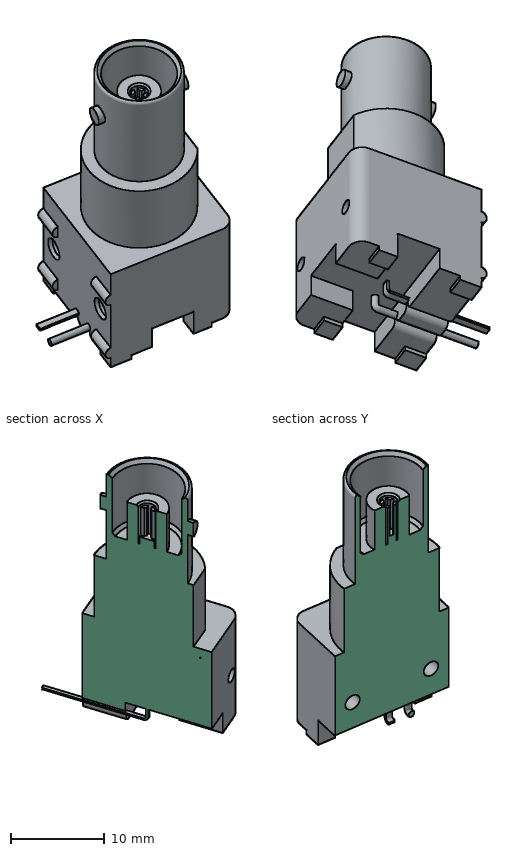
import cadquery as cq
import math


BODY_X = 14.76
BODY_Y = 15.24
BODY_TOP = 14.35
REAR_CORNER_R = 1.6
FOOT_H = 0.57
FOOT_X = 2.25
FRONT_FOOT_Y = 2.58
REAR_FOOT_Y = 2.25
NOTCH_Y = 5.08
NOTCH_TOP = 3.4
REAR_CHANNEL_X = 5.6
FRONT_Y = -BODY_Y / 2
OVERLAP = 0.2

RIB_LENGTH = 3.16
RIB_R = 0.82
RIB_PROUD = 0.65
RIB_HEIGHTS = (2.24, 10.38)
HOLE_PITCH = 10.16
HOLE_Z = 6.96
HOLE_FRONT_R = 0.98
HOLE_REAR_R = 0.8
HOLE_MOUTH_R = 1.25
HOLE_MOUTH_DEPTH = 0.4

COLLAR_R = 6.25
COLLAR_FLAT_Y = 5.5
COLLAR_TOP = 23.1
TUBE_R = 4.82
TUBE_TOP = 35.18
RIM_R = 0.32
BORE_R = 4.08
BORE_FLOOR_R = 3.7
BORE_FLOOR = TUBE_TOP - 8.5
LUG_R = 1.0
LUG_Z = 30.93
LUG_REACH = 5.5

INSULATOR_R = 2.36
INSULATOR_TOP = TUBE_TOP - 3.13
SOCKET_R = 1.0
SOCKET_CHAMFER = 0.22
CONTACT_R = 0.87
CONTACT_BORE_R = 0.5
CONTACT_TOP = INSULATOR_TOP - 0.4
CONTACT_SLOT = 0.48
CONTACT_SLOT_DEPTH = 4.0

PIN_REACH = 4.75
PIN_TIP_Y = FRONT_Y - PIN_REACH
PIN_Z = 1.87
PIN_BEND_R = 0.45
PIN_ROOT_Z = NOTCH_TOP + 0.5
RIBBON_W = 0.8
RIBBON_T = 0.31
RIBBON_SEAT_ARCH = 0.2
SIDE_PIN_X = 2.54
SIDE_PIN_R = 0.41
RIBBON_NECK = 0.33
SIDE_PIN_NECK = 0.45
NECK_ROUND = 0.65


def block(x_range, y_range, z_range):
    """Box spanning the given (low, high) ranges."""
    sizes = [high - low for low, high in (x_range, y_range, z_range)]
    corner = (x_range[0], y_range[0], z_range[0])
    return cq.Workplane("XY").box(*sizes, centered=False).translate(corner)


def rod(radius, z_low, z_high):
    """Cylinder on the connector axis."""
    return cq.Workplane("XY").workplane(offset=z_low).circle(radius).extrude(z_high - z_low)


def front_plane(y):
    """XZ workplane at the given Y; extrusions run towards -Y."""
    return cq.Workplane("XZ", origin=(0, y, 0))


def make_housing():
    half_x = BODY_X / 2
    half_notch = NOTCH_Y / 2
    rear_y = BODY_Y / 2
    housing = block((-half_x, half_x), (FRONT_Y, rear_y), (FOOT_H, BODY_TOP))
    housing = housing.edges("|Z and >Y").fillet(REAR_CORNER_R)

    for x_low in (-half_x, half_x - FOOT_X):
        x_range = (x_low, x_low + FOOT_X)
        foot_z = (0, FOOT_H + OVERLAP)
        housing = housing.union(block(x_range, (FRONT_Y, FRONT_Y + FRONT_FOOT_Y), foot_z))
        housing = housing.union(block(x_range, (half_notch, half_notch + REAR_FOOT_Y), foot_z))

    notch = block((-half_x, half_x), (-half_notch, half_notch), (0, NOTCH_TOP))
    channel_half = REAR_CHANNEL_X / 2
    channel = block((-channel_half, channel_half), (half_notch, rear_y), (0, NOTCH_TOP))
    return housing.cut(notch).cut(channel)


def add_ribs(part):
    """Four rounded standoff ribs at the left and right edges of the front face."""
    axis_y = FRONT_Y - RIB_PROUD + RIB_R
    for x_low in (-BODY_X / 2, BODY_X / 2 - RIB_LENGTH):
        for z in RIB_HEIGHTS:
            rib = cq.Workplane("YZ", origin=(x_low, axis_y, z)).circle(RIB_R).extrude(RIB_LENGTH)
            part = part.union(rib)
    return part


def cut_screw_holes(part):
    """Tapering through holes along Y with a conical mouth in the front face."""
    for side in (-1, 1):
        profile = [
            (0, FRONT_Y),
            (HOLE_MOUTH_R, FRONT_Y),
            (HOLE_FRONT_R, FRONT_Y + HOLE_MOUTH_DEPTH),
            (HOLE_REAR_R, BODY_Y / 2),
            (0, BODY_Y / 2),
        ]
        hole = cq.Workplane("XY").polyline(profile).close().revolve(360, (0, 0), (0, 1))
        part = part.cut(hole.translate((side * HOLE_PITCH / 2, 0, HOLE_Z)))
    return part


def neck_cutter(x, width, top):
    """Slot through the front leg, flaring out through rounds to its lower face."""
    half = width / 2
    mouth = half + NECK_ROUND
    round_top = FOOT_H + NECK_ROUND
    mid = NECK_ROUND * (1 - math.sqrt(0.5))
    sketch = (
        front_plane(-NOTCH_Y / 2)
        .moveTo(x - mouth, FOOT_H)
        .threePointArc((x - half - mid, FOOT_H + mid), (x - half, round_top))
        .lineTo(x - half, top)
        .lineTo(x + half, top)
        .lineTo(x + half, round_top)
        .threePointArc((x + half + mid, FOOT_H + mid), (x + mouth, FOOT_H))
        .close()
    )
    return sketch.extrude(-FRONT_Y - NOTCH_Y / 2)


def cut_pin_slots(part):
    """Snap-in slots of both pins, with an arched seat above the ribbon pin."""
    half = RIBBON_W / 2
    seat_low = PIN_Z - RIBBON_T / 2
    seat_high = PIN_Z + RIBBON_T / 2
    seat = (
        front_plane(-NOTCH_Y / 2)
        .moveTo(-half, seat_low)
        .lineTo(half, seat_low)
        .lineTo(half, seat_high)
        .threePointArc((0, seat_high + RIBBON_SEAT_ARCH), (-half, seat_high))
        .close()
        .extrude(-FRONT_Y - NOTCH_Y / 2)
    )
    part = part.cut(neck_cutter(0, RIBBON_NECK, PIN_Z)).cut(seat)
    return part.cut(neck_cutter(SIDE_PIN_X, SIDE_PIN_NECK, PIN_Z))


def pin_path(x):
    """Centre line from the housing down, round the bend and out along -Y."""
    mid = PIN_BEND_R * (1 - math.sqrt(0.5))
    return (
        cq.Workplane("YZ", origin=(x, 0, 0))
        .moveTo(0, PIN_ROOT_Z)
        .lineTo(0, PIN_Z + PIN_BEND_R)
        .threePointArc((-mid, PIN_Z + mid), (-PIN_BEND_R, PIN_Z))
        .lineTo(PIN_TIP_Y, PIN_Z)
    )


def add_pins(part):
    """Flat ribbon pin on the connector axis and a round pin beside it."""
    ribbon_section = cq.Workplane("XY", origin=(0, 0, PIN_ROOT_Z)).rect(RIBBON_W, RIBBON_T)
    side_section = cq.Workplane("XY", origin=(SIDE_PIN_X, 0, PIN_ROOT_Z)).circle(SIDE_PIN_R)
    part = part.union(ribbon_section.sweep(pin_path(0)))
    return part.union(side_section.sweep(pin_path(SIDE_PIN_X)))


def make_barrel():
    """Collar with a flat on its rear side, tube with rounded rim, and bayonet lugs."""
    collar = rod(COLLAR_R, BODY_TOP - OVERLAP, COLLAR_TOP)
    beyond_flat = block((-COLLAR_R, COLLAR_R), (COLLAR_FLAT_Y, COLLAR_R), (0, COLLAR_TOP))
    tube = rod(TUBE_R, COLLAR_TOP - OVERLAP, TUBE_TOP).faces(">Z").edges().fillet(RIM_R)
    lugs = front_plane(LUG_REACH).center(0, LUG_Z).circle(LUG_R).extrude(2 * LUG_REACH)
    return collar.cut(beyond_flat).union(tube).union(lugs)


def cut_bore(part):
    """Tube bore: chamfered mouth, then a cylinder with a bevelled floor."""
    mouth_r = TUBE_R - RIM_R
    profile = [
        (0, BORE_FLOOR),
        (BORE_FLOOR_R, BORE_FLOOR),
        (BORE_R, BORE_FLOOR + BORE_R - BORE_FLOOR_R),
        (BORE_R, TUBE_TOP - (mouth_r - BORE_R)),
        (mouth_r, TUBE_TOP),
        (0, TUBE_TOP),
    ]
    return part.cut(cq.Workplane("XZ").polyline(profile).close().revolve(360, (0, 0), (0, 1)))


def make_insulator():
    """Insulator sleeve with a chamfered socket around the slotted contact."""
    root = BORE_FLOOR - OVERLAP
    sleeve = rod(INSULATOR_R, root, INSULATOR_TOP).cut(rod(SOCKET_R, BORE_FLOOR, INSULATOR_TOP))
    socket_edge = cq.selectors.RadiusNthSelector(0)
    sleeve = sleeve.faces(">Z").edges(socket_edge).chamfer(SOCKET_CHAMFER)

    contact = rod(CONTACT_R, root, CONTACT_TOP)
    contact = contact.cut(rod(CONTACT_BORE_R, CONTACT_TOP - CONTACT_SLOT_DEPTH, CONTACT_TOP))
    across = (-CONTACT_R, CONTACT_R)
    slot = (-CONTACT_SLOT / 2, CONTACT_SLOT / 2)
    slot_z = (CONTACT_TOP - CONTACT_SLOT_DEPTH, CONTACT_TOP)
    contact = contact.cut(block(across, slot, slot_z)).cut(block(slot, across, slot_z))
    return sleeve.union(contact)


part = add_ribs(make_housing())
part = cut_screw_holes(part)
part = cut_pin_slots(part)
part = add_pins(part)
part = cut_bore(part.union(make_barrel()))
result = part.union(make_insulator())